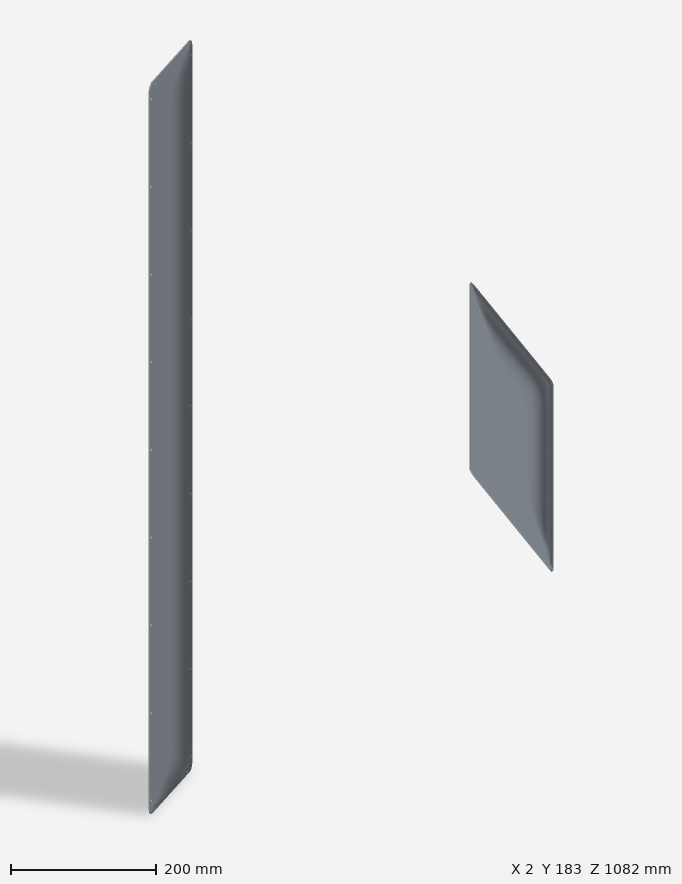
import cadquery as cq

thickness = 2.0
width = 183.0
height = 1082.0
corner_radius = 10.0

hole_diameter = 6.0
edge_distance = 5.0
side_hole_count = 9
side_hole_pitch = 130.0
end_hole_spacing = 141.0


def side_hole_points():
    """Evenly pitched holes along both long edges."""
    y = width / 2 - edge_distance
    first_z = -side_hole_pitch * (side_hole_count - 1) / 2
    return [
        (side * y, first_z + index * side_hole_pitch)
        for side in (-1, 1)
        for index in range(side_hole_count)
    ]


def end_hole_points():
    """Two holes along each short edge."""
    y = end_hole_spacing / 2
    z = height / 2 - edge_distance
    return [(side * y, end * z) for side in (-1, 1) for end in (-1, 1)]


plate = (
    cq.Workplane("YZ")
    .rect(width, height)
    .extrude(thickness / 2, both=True)
    .edges("|X")
    .fillet(corner_radius)
)

holes = (
    cq.Workplane("YZ")
    .pushPoints(side_hole_points() + end_hole_points())
    .circle(hole_diameter / 2)
    .extrude(thickness, both=True)
)

result = plate.cut(holes)